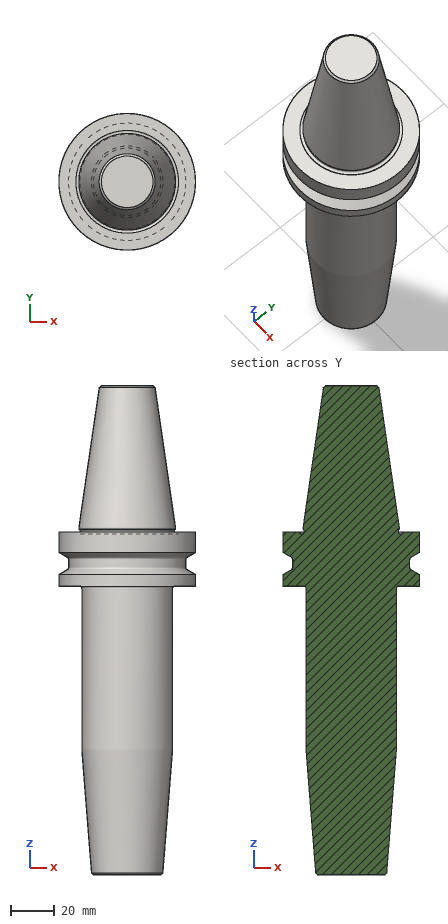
import cadquery as cq
import math

total_length = 225.5
taper_length = 65.4
neck_length = 2.0
flange_length = 25.0

taper_radius = 22.3
taper_ratio = 7 / 24
taper_tip_chamfer = 1.0

neck_radius = 21.9
relief_outer_radius = 23.7
relief_depth = 1.0
relief_fillet = 0.7
gauge_band_length = 0.7

flange_radius = 31.5
upper_rim_length = 9.5
groove_width = 10.1
groove_depth = 4.5
groove_wall_angle = 30.0
groove_fillet = 1.0

shank_radius = 21.0
shank_fillet = 1.0
nose_length = 57.7
nose_angle = 4.5
nose_chamfer = 1.0

gauge_z = total_length - taper_length
band_bottom = gauge_z - gauge_band_length - (taper_radius - neck_radius)
flange_top = gauge_z - neck_length
flange_bottom = flange_top - flange_length
groove_top = flange_top - upper_rim_length
groove_bottom = groove_top - groove_width

tip_radius = taper_radius - taper_length * taper_ratio / 2
tip_chamfer_radius = tip_radius + taper_tip_chamfer * taper_ratio / 2
nose_slope = math.tan(math.radians(nose_angle))
nose_end_radius = shank_radius - nose_length * nose_slope
nose_chamfer_radius = nose_end_radius + nose_chamfer * nose_slope
groove_floor_radius = flange_radius - groove_depth
groove_wall_height = groove_depth * math.tan(math.radians(groove_wall_angle))

fillet_offset = shank_fillet * (1 - math.sqrt(0.5))
fillet_middle = (shank_radius + fillet_offset, flange_bottom - fillet_offset)

profile = (
    cq.Workplane("XZ")
    .moveTo(0, 0)
    .lineTo(nose_end_radius - nose_chamfer, 0)
    .lineTo(nose_chamfer_radius, nose_chamfer)
    .lineTo(shank_radius, nose_length)
    .lineTo(shank_radius, flange_bottom - shank_fillet)
    .threePointArc(fillet_middle, (shank_radius + shank_fillet, flange_bottom))
    .lineTo(flange_radius, flange_bottom)
    .lineTo(flange_radius, groove_bottom)
    .lineTo(groove_floor_radius, groove_bottom + groove_wall_height)
    .lineTo(groove_floor_radius, groove_top - groove_wall_height)
    .lineTo(flange_radius, groove_top)
    .lineTo(flange_radius, flange_top)
    .lineTo(relief_outer_radius, flange_top)
    .lineTo(relief_outer_radius, flange_top - relief_depth)
    .lineTo(neck_radius, flange_top - relief_depth)
    .lineTo(neck_radius, band_bottom)
    .lineTo(taper_radius, gauge_z - gauge_band_length)
    .lineTo(taper_radius, gauge_z)
    .lineTo(tip_chamfer_radius, total_length - taper_tip_chamfer)
    .lineTo(tip_radius - taper_tip_chamfer, total_length)
    .lineTo(0, total_length)
    .close()
)

body = profile.revolve(360, (0, 0, 0), (0, 1, 0))


def fillet_ring(solid, radius, height, fillet_radius):
    """Round the circular edge of the given radius at the given height."""
    tolerance = 0.02
    rings = solid.edges("%CIRCLE").filter(
        lambda edge: abs(edge.radius() - radius) < tolerance
        and abs(edge.Center().z - height) < tolerance
    )
    return rings.fillet(fillet_radius)


for floor_end in (groove_bottom + groove_wall_height, groove_top - groove_wall_height):
    body = fillet_ring(body, groove_floor_radius, floor_end, groove_fillet)

for wall_radius in (neck_radius, relief_outer_radius):
    body = fillet_ring(body, wall_radius, flange_top - relief_depth, relief_fillet)

result = body